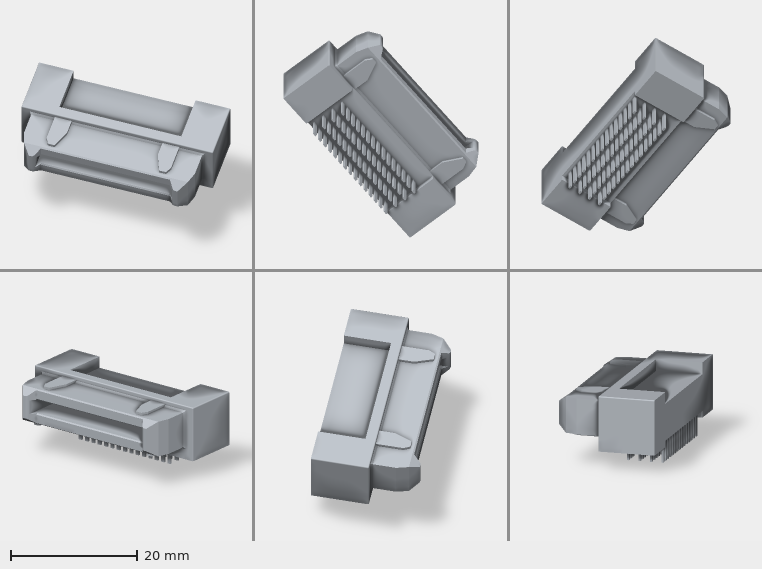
import cadquery as cq


HOUSING_WIDTH = 31.7
HOUSING_DEPTH = 9.35
HOUSING_HEIGHT = 9.0
HOUSING_ROUND = 0.2
RECESS_WIDTH = 20.2
TOP_RECESS_LENGTH = 7.65
TOP_RECESS_DEPTH = 1.9
BOTTOM_RECESS_DEPTH = 1.08

NOSE_TOP_DROP = 1.05
NOSE_TOP = HOUSING_HEIGHT - NOSE_TOP_DROP
NOSE_HEIGHT = 5.85
NOSE_BOTTOM = NOSE_TOP - NOSE_HEIGHT
NOSE_CENTER_Z = NOSE_BOTTOM + NOSE_HEIGHT / 2
NOSE_HALF_WIDTH = 14.15
NOSE_STRAIGHT_LENGTH = 4.05
NOSE_TAPER_LENGTH = 6.02
NOSE_TAPER_HALF_WIDTH = 13.57
NOSE_FACE_LENGTH = 6.28
NOSE_LENGTH = 7.55
HORN_BASE_INSIDE = 10.68
HORN_TIP_INSIDE = 11.6
HORN_TIP_OUTSIDE = 12.3
HORN_TIP_RADIUS = 0.6
NOSE_BEVEL_DROP = 1.05
FLARE = 0.32
FLARE_ANGLE = 45

SLOT_WIDTH = 22.65
SLOT_HEIGHT = 2.3
SLOT_CHAMFER = 0.2

TAB_LENGTH = 5.48
TAB_OUTER_STRAIGHT = 4.45
TAB_INNER_STRAIGHT = 2.55
TOP_TAB_THICKNESS = 0.48
BOTTOM_TAB_THICKNESS = 0.57
TOP_TAB_X = (7.5, 8.65, 9.75, 10.3)
BOTTOM_TAB_X = (9.38, 10.87, 11.7, 12.3)

PIN_COLUMNS = 15
PIN_ROWS = 4
PIN_COLUMN_PITCH = 1.27
PIN_ROW_PITCH = 1.9
PIN_WIDTH = 0.6
PIN_THICKNESS = 0.32
PIN_REACH = 2.8
LAST_ROW_INSET = 0.73

SIDES = (-1, 1)


def make_housing():
    """Block with rounded front, top and side edges, recessed at the top rear and along the underside."""
    body = cq.Workplane("XY").box(
        HOUSING_WIDTH, HOUSING_DEPTH, HOUSING_HEIGHT, centered=(True, False, False)
    )
    top_and_front_sides = body.edges("(>Z and (<X or >X or <Y)) or (<Y and (<X or >X))")
    body = top_and_front_sides.fillet(HOUSING_ROUND)
    top_recess = (
        cq.Workplane("XY")
        .box(RECESS_WIDTH, TOP_RECESS_LENGTH, TOP_RECESS_DEPTH, centered=(True, False, False))
        .translate((0, HOUSING_DEPTH - TOP_RECESS_LENGTH, HOUSING_HEIGHT - TOP_RECESS_DEPTH))
    )
    bottom_recess = cq.Workplane("XY").box(
        RECESS_WIDTH, HOUSING_DEPTH, BOTTOM_RECESS_DEPTH, centered=(True, False, False)
    )
    return body.cut(top_recess).cut(bottom_recess)


def make_nose_blank():
    """Plan outline of the nose, with a guide horn at each end, extruded to full height."""
    right_side = [
        (NOSE_HALF_WIDTH, 0),
        (NOSE_HALF_WIDTH, -NOSE_STRAIGHT_LENGTH),
        (NOSE_TAPER_HALF_WIDTH, -NOSE_TAPER_LENGTH),
        (HORN_TIP_OUTSIDE, -NOSE_LENGTH),
        (HORN_TIP_INSIDE, -NOSE_LENGTH),
        (HORN_BASE_INSIDE, -NOSE_FACE_LENGTH),
    ]
    left_side = [(-x, y) for x, y in reversed(right_side)]
    blank = (
        cq.Workplane("XY")
        .workplane(offset=NOSE_BOTTOM)
        .polyline(right_side + left_side)
        .close()
        .extrude(NOSE_HEIGHT)
    )
    margin = HORN_TIP_RADIUS / 10
    inner_tip_edges = cq.selectors.BoxSelector(
        (-HORN_TIP_INSIDE - margin, -NOSE_LENGTH - margin, NOSE_BOTTOM),
        (HORN_TIP_INSIDE + margin, -NOSE_LENGTH + margin, NOSE_TOP),
    )
    return blank.edges("|Z").edges(inner_tip_edges).fillet(HORN_TIP_RADIUS)


def make_nose_side_profile():
    """Side outline of the nose, bevelled at the top and bottom of the tip."""
    return (
        cq.Workplane("YZ")
        .polyline([
            (0, NOSE_BOTTOM),
            (-NOSE_TAPER_LENGTH, NOSE_BOTTOM),
            (-NOSE_LENGTH, NOSE_BOTTOM + NOSE_BEVEL_DROP),
            (-NOSE_LENGTH, NOSE_TOP - NOSE_BEVEL_DROP),
            (-NOSE_TAPER_LENGTH, NOSE_TOP),
            (0, NOSE_TOP),
        ])
        .close()
        .extrude(NOSE_HALF_WIDTH, both=True)
    )


def make_flare():
    """Sloping skirt where the nose meets the housing."""
    return (
        cq.Workplane("XZ")
        .center(0, NOSE_CENTER_Z)
        .rect(2 * (NOSE_HALF_WIDTH + FLARE), NOSE_HEIGHT + 2 * FLARE)
        .extrude(FLARE, taper=FLARE_ANGLE)
    )


def make_slot():
    """Slot reaching back to the housing face, with a chamfered mouth between the horns."""
    slot = (
        cq.Workplane("XZ")
        .center(0, NOSE_CENTER_Z)
        .rect(SLOT_WIDTH, SLOT_HEIGHT)
        .extrude(NOSE_LENGTH)
    )
    half_height = SLOT_HEIGHT / 2
    mouth_back = -NOSE_FACE_LENGTH + SLOT_CHAMFER
    mouth = (
        cq.Workplane("YZ")
        .center(0, NOSE_CENTER_Z)
        .polyline([
            (mouth_back, -half_height),
            (-NOSE_FACE_LENGTH, -half_height - SLOT_CHAMFER),
            (-NOSE_FACE_LENGTH, half_height + SLOT_CHAMFER),
            (mouth_back, half_height),
        ])
        .close()
        .extrude(HORN_BASE_INSIDE, both=True)
    )
    return slot.union(mouth)


def make_tab(side, tab_x, bottom, thickness):
    """Pointed latch tab on one side of the symmetry plane."""
    inner, tip_inner, tip_outer, outer = tab_x
    outline = [
        (inner, 0),
        (inner, -TAB_INNER_STRAIGHT),
        (tip_inner, -TAB_LENGTH),
        (tip_outer, -TAB_LENGTH),
        (outer, -TAB_OUTER_STRAIGHT),
        (outer, 0),
    ]
    return (
        cq.Workplane("XY")
        .workplane(offset=bottom)
        .polyline([(side * x, y) for x, y in outline])
        .close()
        .extrude(thickness)
    )


def make_pins():
    """Grid of flat pins hanging from the ceiling of the bottom recess."""
    grid_center_y = HOUSING_DEPTH - LAST_ROW_INSET - (PIN_ROWS - 1) * PIN_ROW_PITCH / 2
    return (
        cq.Workplane("XY")
        .workplane(offset=-PIN_REACH)
        .center(0, grid_center_y)
        .rarray(PIN_COLUMN_PITCH, PIN_ROW_PITCH, PIN_COLUMNS, PIN_ROWS)
        .rect(PIN_WIDTH, PIN_THICKNESS)
        .extrude(PIN_REACH + BOTTOM_RECESS_DEPTH)
    )


nose = make_nose_blank().intersect(make_nose_side_profile()).union(make_flare()).cut(make_slot())

result = make_housing().union(nose)
for side in SIDES:
    result = result.union(make_tab(side, TOP_TAB_X, NOSE_TOP, TOP_TAB_THICKNESS))
    bottom_tab_base = NOSE_BOTTOM - BOTTOM_TAB_THICKNESS
    result = result.union(make_tab(side, BOTTOM_TAB_X, bottom_tab_base, BOTTOM_TAB_THICKNESS))
result = result.union(make_pins())